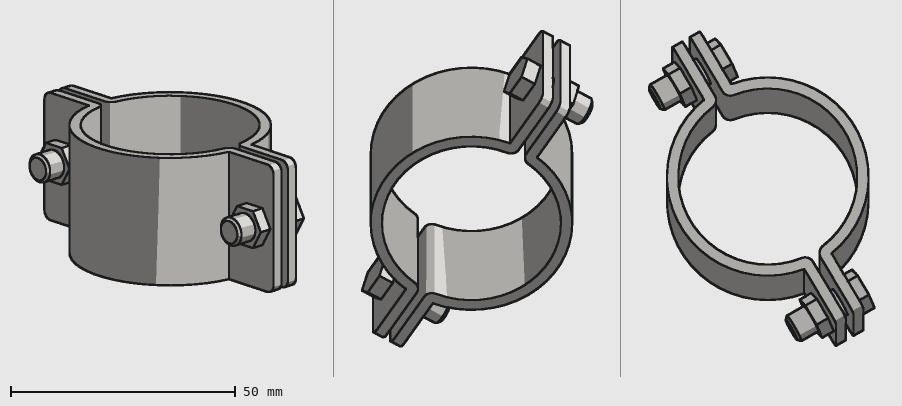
import cadquery as cq
import math

length = 72.45
height = 30.0
ring_outer_diameter = 44.85
ring_outer_radius = ring_outer_diameter / 2
wall = 2.5
ring_inner_radius = ring_outer_radius - wall
flange_gap = 1.95
half_gap = flange_gap / 2
flange_outer_y = half_gap + wall
flange_corner_radius = 2.0
bend_radius = 2.0

bolt_end_distance = 6.0
bolt_x = length / 2 - bolt_end_distance
shank_diameter = 6.5
hex_across_corners = 10.0
head_height = 3.5
nut_height = 3.0
tip_reach = 8.0
tip_chamfer = 0.65


def make_front_half():
    """Half ring on the -Y side with a drilled flange at each end."""
    flanges = (
        cq.Workplane("XY")
        .box(length, wall, height)
        .edges("|Y")
        .fillet(flange_corner_radius)
        .translate((0, -half_gap - wall / 2, 0))
    )
    ring = cq.Workplane("XY").circle(ring_outer_radius).extrude(height / 2, both=True)
    behind_gap = (
        cq.Workplane("XY")
        .box(length, length, height)
        .translate((0, length / 2 - half_gap, 0))
    )
    bore = cq.Workplane("XY").circle(ring_inner_radius).extrude(height / 2, both=True)
    half = ring.cut(behind_gap).union(flanges).cut(bore)

    bend_x = math.sqrt(ring_inner_radius**2 - half_gap**2)
    for side in (-1, 1):
        bend_edge = cq.selectors.NearestToPointSelector((side * bend_x, -half_gap, 0))
        half = half.edges("|Z").edges(bend_edge).fillet(bend_radius)

    holes = (
        cq.Workplane("XZ")
        .pushPoints([(-bolt_x, 0), (bolt_x, 0)])
        .circle(shank_diameter / 2)
        .extrude(flange_outer_y)
    )
    return half.cut(holes)


def make_bolt(x):
    """Bolt with its head behind the rear flange and its nut on the front flange."""
    head_end_y = flange_outer_y + head_height
    shank = (
        cq.Workplane("XZ", origin=(x, head_end_y, 0))
        .circle(shank_diameter / 2)
        .extrude(head_end_y + flange_outer_y + tip_reach)
        .faces("<Y")
        .chamfer(tip_chamfer)
    )
    head = (
        cq.Workplane("XZ", origin=(x, head_end_y, 0))
        .polygon(6, hex_across_corners)
        .extrude(head_height)
    )
    nut = (
        cq.Workplane("XZ", origin=(x, -flange_outer_y, 0))
        .polygon(6, hex_across_corners)
        .extrude(nut_height)
    )
    return shank.union(head).union(nut)


front_half = make_front_half()
rear_half = front_half.mirror("XZ")
bolts = [make_bolt(x) for x in (-bolt_x, bolt_x)]

result = cq.Compound.makeCompound(
    [
        front_half.solids().val(),
        rear_half.solids().val(),
        *[bolt.solids().val() for bolt in bolts],
    ]
)